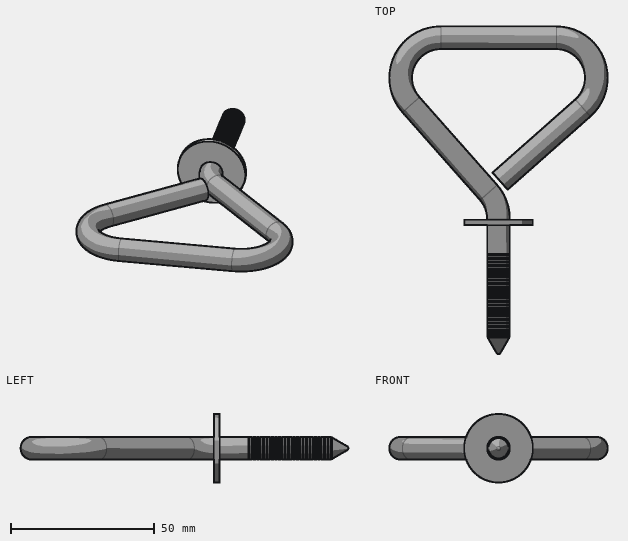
import cadquery as cq
import math

rod_diameter = 8.0
rod_radius = rod_diameter / 2
bend_radius = 14.0
crossbar_length = 40.2
leg_angle = math.radians(41.5)
free_leg_length = 38.5

washer_diameter = 24.0
washer_thickness = 2.0
washer_offset = 0.2

overall_length = 114.3
plain_shank_length = 12.2
thread_pitch = 1.25
groove_count = 24
groove_width = thread_pitch / 2
groove_half_angle = math.radians(30)
groove_depth = groove_width / 2 / math.tan(groove_half_angle)

point_half_angle = math.radians(30)
tip_radius = 0.8
tip_edge_radius = tip_radius * math.cos(point_half_angle)
tip_edge_height = tip_radius * (1 - math.sin(point_half_angle))
cone_height = (rod_radius - tip_edge_radius) / math.tan(point_half_angle)

bend_center_x = crossbar_length / 2
leg_cos = math.cos(leg_angle)
leg_sin = math.sin(leg_angle)
leg_span_x = bend_center_x + bend_radius * leg_cos - bend_radius * (1 - leg_cos)
leg_span_y = leg_span_x / math.tan(leg_angle)
bend_center_y = 2 * bend_radius * leg_sin + leg_span_y
crossbar_y = bend_center_y + bend_radius
tip_y = crossbar_y + rod_radius - overall_length


def arc_point(center_x, center_y, angle):
    """Point on a bend centreline at the given angle from +X."""
    return (center_x + bend_radius * math.cos(angle), center_y + bend_radius * math.sin(angle))


def make_loop():
    """Round rod swept from the shank around the loop to its free end."""
    neck_middle = arc_point(-bend_radius, 0, leg_angle / 2)
    neck_end = arc_point(-bend_radius, 0, leg_angle)

    left_start = arc_point(-bend_center_x, bend_center_y, math.pi + leg_angle)
    left_middle = arc_point(-bend_center_x, bend_center_y, math.pi * 3 / 4 + leg_angle / 2)

    right_end_angle = leg_angle - math.pi / 2
    right_middle = arc_point(bend_center_x, bend_center_y, (math.pi / 2 + right_end_angle) / 2)
    right_end = arc_point(bend_center_x, bend_center_y, right_end_angle)
    free_end = (right_end[0] - free_leg_length * leg_cos, right_end[1] - free_leg_length * leg_sin)

    path = (
        cq.Workplane("XY")
        .moveTo(0, 0)
        .threePointArc(neck_middle, neck_end)
        .lineTo(*left_start)
        .threePointArc(left_middle, (-bend_center_x, crossbar_y))
        .lineTo(bend_center_x, crossbar_y)
        .threePointArc(right_middle, right_end)
        .lineTo(*free_end)
    )
    return cq.Workplane("XZ").circle(rod_radius).sweep(path)


def make_shank():
    """Straight rod below the loop, tapering to a small rounded tip."""
    tip_edge_y = tip_y + tip_edge_height
    tip_middle_angle = (math.pi / 2 - point_half_angle) / 2
    tip_middle = (
        tip_radius * math.sin(tip_middle_angle),
        tip_y + tip_radius * (1 - math.cos(tip_middle_angle)),
    )
    return (
        cq.Workplane("XY")
        .moveTo(0, 0)
        .lineTo(rod_radius, 0)
        .lineTo(rod_radius, tip_edge_y + cone_height)
        .lineTo(tip_edge_radius, tip_edge_y)
        .threePointArc(tip_middle, (0, tip_y))
        .close()
        .revolve(360, (0, 0, 0), (0, 1, 0))
    )


def make_groove(start_y):
    """Ring of V section around the shank, running toward the tip from start_y."""
    ring_margin = 0.5
    margin_height = ring_margin * math.tan(groove_half_angle)
    return (
        cq.Workplane("XY")
        .moveTo(rod_radius - groove_depth, start_y - groove_width / 2)
        .lineTo(rod_radius + ring_margin, start_y + margin_height)
        .lineTo(rod_radius + ring_margin, start_y - groove_width - margin_height)
        .close()
        .revolve(360, (0, 0, 0), (0, 1, 0))
    )


def make_threaded_shank():
    """Shank with evenly spaced ring grooves standing in for the thread."""
    shank = make_shank()
    for index in range(groove_count):
        shank = shank.cut(make_groove(-plain_shank_length - index * thread_pitch))
    return shank


def make_washer():
    """Flat round washer fixed on the shank just below the bend."""
    plane = cq.Workplane("XZ").workplane(offset=washer_offset)
    return plane.circle(washer_diameter / 2).extrude(washer_thickness)


result = make_threaded_shank().union(make_washer()).union(make_loop())